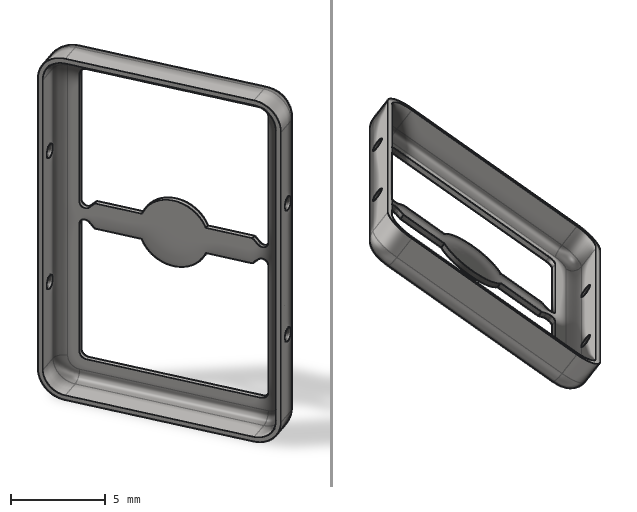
import cadquery as cq
import math

width = 14.0
depth = 2.2
height = 20.9
corner_radius = 1.57
wall = 0.3
edge_radius = 0.88

window_margin = 1.57
window_corner_radius = 0.42

bar_half_height = 0.77
neck_half_height = 0.35
notch_radius = 0.33
disc_radius = 2.0

hole_diameter = 0.8
hole_spacing = 8.03
hole_from_rim = 0.92

window_width = width - 2 * window_margin
window_height = height - 2 * window_margin
floor_y = depth - wall


def rounded_block(inset, length, back_edge_radius):
    """Block from Y=0 toward +Y, inset from the outer sides, with a rounded back edge."""
    return (
        cq.Workplane("XZ")
        .rect(width - 2 * inset, height - 2 * inset)
        .extrude(-length)
        .edges("|Y")
        .fillet(corner_radius - inset)
        .faces(">Y")
        .edges()
        .fillet(back_edge_radius)
    )


def floor_plate(outline):
    """Extrude an XZ outline drawn at the inner floor face through the floor thickness."""
    return outline.extrude(-wall)


def crossbar():
    """Bar whose ends narrow through 45 degree flanks and round notches at the window edge."""
    edge_x = window_width / 2
    notch_x = edge_x - notch_radius
    notch_z = neck_half_height + notch_radius
    diagonal = notch_radius * math.sin(math.pi / 4)
    flank_x = notch_x - diagonal
    flank_z = notch_z - diagonal
    shoulder_x = flank_x - (bar_half_height - flank_z)
    sketch_plane = cq.Workplane("XZ", origin=(0, floor_y, 0))
    quarter = floor_plate(
        sketch_plane
        .lineTo(0, bar_half_height)
        .lineTo(shoulder_x, bar_half_height)
        .lineTo(flank_x, flank_z)
        .threePointArc((notch_x, neck_half_height), (notch_x + diagonal, flank_z))
        .threePointArc(
            (notch_x + notch_radius * math.cos(math.pi / 8), notch_z - notch_radius * math.sin(math.pi / 8)),
            (edge_x, notch_z),
        )
        .lineTo(edge_x, 0)
        .close()
    )
    half = quarter.union(quarter.mirror("XY"))
    disc = floor_plate(sketch_plane.circle(disc_radius))
    return half.union(half.mirror("YZ")).union(disc)


tray = rounded_block(0, depth, edge_radius).cut(rounded_block(wall, floor_y, edge_radius - wall))

window = floor_plate(
    cq.Workplane("XZ", origin=(0, floor_y, 0)).rect(window_width, window_height)
).edges("|Y").fillet(window_corner_radius)

pin_holes = (
    cq.Workplane("YZ", origin=(-width / 2, 0, 0))
    .pushPoints([(hole_from_rim, side * hole_spacing / 2) for side in (-1, 1)])
    .circle(hole_diameter / 2)
    .extrude(width)
)

result = tray.cut(window).union(crossbar()).cut(pin_holes)